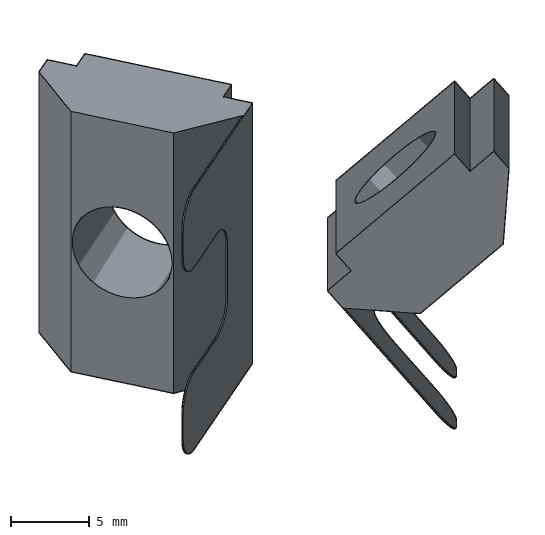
import cadquery as cq

length = 20.0
width = 14.0
boss_width = 10.0
boss_depth = 1.5
flange_depth = 1.5
taper = 3.5
hole_diameter = 6.8

total_depth = 14.0
plate_thickness = 0.1
leg_width = 6.0
notch_start_depth = 6.0
corner_radius = 2.0

back = total_depth / 2
flange_back = back - boss_depth
flange_front = flange_back - flange_depth
block_front = flange_front - taper
notch_floor = back - notch_start_depth
plate_tip = back - total_depth


def make_block():
    half_width = width / 2
    half_boss = boss_width / 2
    half_front = half_width - taper
    profile = [
        (-half_boss, back),
        (half_boss, back),
        (half_boss, flange_back),
        (half_width, flange_back),
        (half_width, flange_front),
        (half_front, block_front),
        (-half_front, block_front),
        (-half_width, flange_front),
        (-half_width, flange_back),
        (-half_boss, flange_back),
    ]
    block = cq.Workplane("XY").polyline(profile).close().extrude(length / 2, both=True)
    hole = cq.Workplane("XZ").circle(hole_diameter / 2).extrude(total_depth, both=True)
    return block.cut(hole)


def make_plate():
    half_length = length / 2
    half_notch = half_length - leg_width
    outline = [
        (flange_back, -half_length),
        (plate_tip, -half_length),
        (plate_tip, -half_notch),
        (notch_floor, -half_notch),
        (notch_floor, half_notch),
        (plate_tip, half_notch),
        (plate_tip, half_length),
        (flange_back, half_length),
    ]
    plate = (
        cq.Workplane("YZ", origin=(width / 2, 0, 0))
        .polyline(outline)
        .close()
        .extrude(-plate_thickness)
    )
    rounded = cq.selectors.BoxSelector(
        (0, -total_depth, -length), (width, flange_front, length)
    )
    return plate.edges("|X").edges(rounded).fillet(corner_radius)


result = make_block().union(make_plate())